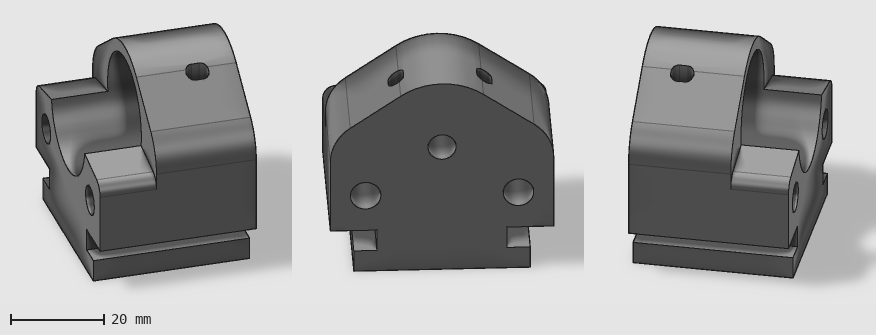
import cadquery as cq
import math

width = 48.0
height = 45.5
depth = 35.0
shelf_depth = 12.6

foot_width = 37.9
neck_width = 28.0
foot_height = 5.0
body_bottom = 10.0

axis_z = 30.0
bore_radius = 12.65
bore_depth = 20.9
shaft_hole_diameter = 6.0

crown_radius = height - axis_z
shoulder_radius = 10.0
flank_angle = math.radians(35)

shelf_angle = math.radians(10)
shelf_corner_radius = 3.0

bolt_hole_diameter = 6.55
bolt_spacing = 32.85
bolt_z = 18.5

slot_width = 3.2
slot_length = 5.0
slot_spacing = 19.0
slot_from_back = 8.9

half_width = width / 2


def make_foot():
    base = cq.Workplane("XY").rect(foot_width, depth).extrude(foot_height)
    neck = cq.Workplane("XY").rect(neck_width, depth).extrude(body_bottom)
    return base.union(neck).translate((0, depth / 2, 0))


def make_shelf_body():
    """Full-depth body whose top is two sloping faces with rounded outer corners."""
    edge_z = axis_z - half_width * math.tan(shelf_angle)
    body = (
        cq.Workplane("XZ")
        .moveTo(-half_width, body_bottom)
        .lineTo(half_width, body_bottom)
        .lineTo(half_width, edge_z)
        .lineTo(0, axis_z)
        .lineTo(-half_width, edge_z)
        .close()
        .extrude(-depth)
    )
    top_corners = cq.selectors.BoxSelector(
        (-width, 0, body_bottom + shelf_corner_radius), (width, depth, axis_z - shelf_corner_radius)
    )
    return body.edges("|Y").edges(top_corners).fillet(shelf_corner_radius)


def make_housing():
    """Crown arc around the bore axis, joined by tangent flanks to the shoulder arcs."""
    sine = math.sin(flank_angle)
    cosine = math.cos(flank_angle)
    shoulder_x = half_width - shoulder_radius
    shoulder_z = axis_z + (crown_radius - shoulder_radius - shoulder_x * sine) / cosine
    crown_end = (crown_radius * sine, axis_z + crown_radius * cosine)
    shoulder_end = (shoulder_x + shoulder_radius * sine, shoulder_z + shoulder_radius * cosine)
    middle_angle = flank_angle / 2 + math.pi / 4
    shoulder_middle = (
        shoulder_x + shoulder_radius * math.sin(middle_angle),
        shoulder_z + shoulder_radius * math.cos(middle_angle),
    )

    def mirrored(point):
        return (-point[0], point[1])

    return (
        cq.Workplane("XZ", origin=(0, shelf_depth, 0))
        .moveTo(-half_width, body_bottom)
        .lineTo(half_width, body_bottom)
        .lineTo(half_width, shoulder_z)
        .threePointArc(shoulder_middle, shoulder_end)
        .lineTo(*crown_end)
        .threePointArc((0, height), mirrored(crown_end))
        .lineTo(*mirrored(shoulder_end))
        .threePointArc(mirrored(shoulder_middle), (-half_width, shoulder_z))
        .close()
        .extrude(shelf_depth - depth)
    )


def cylinder_along_y(x, z, diameter, length):
    return cq.Workplane("XZ").center(x, z).circle(diameter / 2).extrude(-length)


def make_slot(x):
    return (
        cq.Workplane("XY")
        .center(x, depth - slot_from_back)
        .slot2D(slot_length, slot_width, 90)
        .extrude(height)
    )


result = make_foot().union(make_shelf_body()).union(make_housing())
result = result.cut(cylinder_along_y(0, axis_z, 2 * bore_radius, bore_depth))
result = result.cut(cylinder_along_y(0, axis_z, shaft_hole_diameter, depth))
for side in (-1, 1):
    bolt_hole = cylinder_along_y(side * bolt_spacing / 2, bolt_z, bolt_hole_diameter, depth)
    result = result.cut(bolt_hole)
    result = result.cut(make_slot(side * slot_spacing / 2))